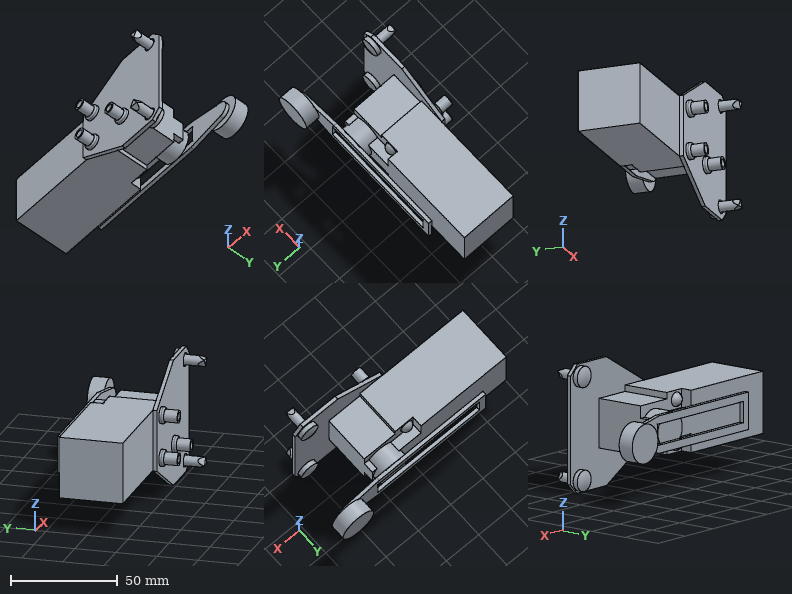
import cadquery as cq
import math


case_length = 83.0
case_depth = 31.0
case_height = 30.0
head_start = 63.9
head_height = 23.8
notch_start = 52.9
notch_depth = 5.8
boss_height = 11.8
notch_face = case_depth - notch_depth

shaft_x = 73.4
shaft_diameter = 17.9
shaft_length = 4.1
lever_left = 18.1
lever_width = 18.0
lever_thickness = 2.0
taper_start = 83.9
lever_tip_radius = 5.0
slot_right = 84.9
slot_width = 10.2
slot_left = lever_left + (lever_width - slot_width) / 2
roller_diameter = 19.0
roller_length = 7.9
overall_length = 113.2
roller_x = overall_length - roller_diameter / 2
lever_front = case_depth + shaft_length
lever_back = lever_front + lever_thickness

plate_left = 49.8
plate_length = 54.0
plate_height = 62.0
plate_thickness = 2.0
plate_slope_angle = 30.0
plate_corner = 4.9
plate_right = plate_left + plate_length
plate_front = -plate_thickness

bolt_x = 57.0
bolt_spacing = 21.1
bushing_bore = 4.0
bushing_diameter = 6.0
bushing_length = 8.6
flange_diameter = 8.0
flange_thickness = 2.0
flange_rounding = 0.9
bushing_end = plate_front - bushing_length
bolt_head_diameter = 7.0
bolt_head_height = 2.7
bolt_points = [(bolt_x, bolt_spacing / 2), (bolt_x, -bolt_spacing / 2)]
bushing_points = bolt_points + [(bolt_x + bolt_spacing, -bolt_spacing / 2)]

screw_x = 96.9
screw_spacing = 49.8
screw_diameter = 5.1
screw_clearance = 6.5
screw_tip_y = -12.0
screw_head_diameter = 10.2
screw_head_side = 2.5
screw_head_dome = 1.2
tip_facet_length = 3.1
tip_facets = 3


def cylinder(x, z, diameter, y_start, y_end):
    """Round bar along Y."""
    plane = cq.Plane(origin=(x, y_start, z), xDir=(1, 0, 0), normal=(0, 1, 0))
    return cq.Workplane(plane).circle(diameter / 2).extrude(y_end - y_start)


def box(x_start, x_end, y_start, y_end, z_start, z_end):
    """Block between the given limits."""
    return cq.Workplane("XY").box(
        x_end - x_start, y_end - y_start, z_end - z_start, centered=False
    ).translate((x_start, y_start, z_start))


def domed_stud(shank_diameter, shank_end, seat, head_diameter, head_side, dome_height):
    """Stud along Y on the origin axis: shank, then a head on the seat with a spherical dome."""
    head_radius = head_diameter / 2
    dome_base = seat + head_side
    dome_radius = (head_radius**2 + dome_height**2) / (2 * dome_height)
    dome_top = dome_base + dome_height
    mid_x = head_radius / 2
    mid_y = dome_top - dome_radius + math.sqrt(dome_radius**2 - mid_x**2)
    profile = (
        cq.Workplane("XY")
        .moveTo(0, shank_end)
        .lineTo(shank_diameter / 2, shank_end)
        .lineTo(shank_diameter / 2, seat)
        .lineTo(head_radius, seat)
    )
    if head_side > 0:
        profile = profile.lineTo(head_radius, dome_base)
    profile = profile.threePointArc((mid_x, mid_y), (0, dome_top)).close()
    return profile.revolve(360, (0, 0, 0), (0, 1, 0))


def make_case():
    case = box(0, head_start, 0, case_depth, -case_height / 2, case_height / 2)
    head = box(head_start, case_length, 0, case_depth, -head_height / 2, head_height / 2)
    case = case.union(head)
    upper_notch = box(notch_start, case_length, notch_face, case_depth, boss_height / 2, case_height / 2)
    return case.cut(upper_notch).cut(upper_notch.mirror("XY"))


def make_lever():
    half_width = lever_width / 2
    run = roller_x - taper_start
    tangent_angle = (
        math.atan2(half_width, run)
        - math.asin(lever_tip_radius / math.hypot(run, half_width))
    )
    tangent_x = roller_x + lever_tip_radius * math.sin(tangent_angle)
    tangent_z = lever_tip_radius * math.cos(tangent_angle)
    plane = cq.Plane(origin=(0, lever_back, 0), xDir=(1, 0, 0), normal=(0, -1, 0))
    lever = (
        cq.Workplane(plane)
        .moveTo(lever_left, -half_width)
        .lineTo(taper_start, -half_width)
        .lineTo(tangent_x, -tangent_z)
        .threePointArc((roller_x + lever_tip_radius, 0), (tangent_x, tangent_z))
        .lineTo(taper_start, half_width)
        .lineTo(lever_left, half_width)
        .close()
        .extrude(lever_thickness)
    )
    slot = box(slot_left, slot_right, lever_front, lever_back, -slot_width / 2, slot_width / 2)
    return lever.cut(slot)


def make_switch():
    """Case, shaft, lever and roller as one solid, with bores for the through bolts."""
    shaft = cylinder(shaft_x, 0, shaft_diameter, notch_face, lever_front)
    roller = cylinder(roller_x, 0, roller_diameter, lever_back, lever_back + roller_length)
    switch = make_case().union(shaft).union(make_lever()).union(roller)
    for x, z in bolt_points:
        switch = switch.cut(cylinder(x, z, bushing_bore, 0, notch_face))
    return switch


def make_plate():
    left_half = case_height / 2
    half = plate_height / 2
    slope_end = plate_left + (half - left_half) / math.tan(math.radians(plate_slope_angle))
    plane = cq.Plane(origin=(0, 0, 0), xDir=(1, 0, 0), normal=(0, -1, 0))
    plate = (
        cq.Workplane(plane)
        .polyline([
            (plate_left, -left_half),
            (slope_end, -half),
            (plate_right - plate_corner, -half),
            (plate_right, -half + plate_corner),
            (plate_right, half - plate_corner),
            (plate_right - plate_corner, half),
            (slope_end, half),
            (plate_left, left_half),
        ])
        .close()
        .extrude(plate_thickness)
    )
    for x, z in bolt_points:
        plate = plate.cut(cylinder(x, z, bushing_bore, plate_front, 0))
    for side in (1, -1):
        plate = plate.cut(cylinder(screw_x, side * screw_spacing / 2, screw_clearance, plate_front, 0))
    return plate


def make_bushing(x, z):
    """Flanged tube standing on the front of the plate."""
    flange = cylinder(x, z, flange_diameter, plate_front - flange_thickness, plate_front)
    flange = flange.faces("<Y").edges().fillet(flange_rounding)
    tube = cylinder(x, z, bushing_diameter, bushing_end, plate_front)
    bore = cylinder(x, z, bushing_bore, bushing_end, plate_front)
    return flange.union(tube).cut(bore)


def make_bolt(x, z):
    """Dome-headed bolt from the notch through the case, flush with the bushing end."""
    bolt = domed_stud(bushing_bore, bushing_end, notch_face, bolt_head_diameter, 0, bolt_head_height)
    return bolt.translate((x, 0, z))


def make_screw(x, side):
    """Screw with a three-sided point; one facet faces the outer edge of the plate."""
    screw = domed_stud(
        screw_diameter, screw_tip_y, 0, screw_head_diameter, screw_head_side, screw_head_dome
    )
    radius = screw_diameter / 2
    facet_depth = radius / 2
    wedge = (
        cq.Workplane("YZ", origin=(-radius, 0, 0))
        .polyline([
            (screw_tip_y, radius - facet_depth),
            (screw_tip_y + tip_facet_length, radius),
            (screw_tip_y, radius),
        ])
        .close()
        .extrude(screw_diameter)
    )
    for i in range(tip_facets):
        screw = screw.cut(wedge.rotate((0, 0, 0), (0, 1, 0), i * 360 / tip_facets))
    if side < 0:
        screw = screw.mirror("XY")
    return screw.translate((x, 0, side * screw_spacing / 2))


switch = make_switch()
plate = make_plate()
bushings = [make_bushing(x, z) for x, z in bushing_points]
bolts = [make_bolt(x, z) for x, z in bolt_points]
screws = [make_screw(screw_x, side) for side in (1, -1)]

bodies = [switch, plate, *bushings, *bolts, *screws]
result = cq.Compound.makeCompound([body.val() for body in bodies])